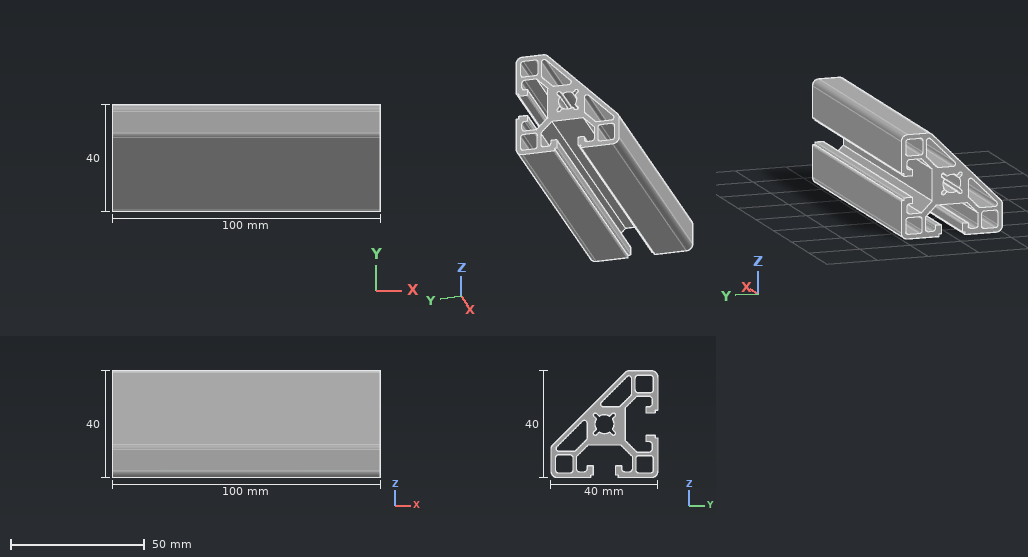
import cadquery as cq
import math

length = 100.0
half_size = 20.0
outer_radius = 2.5
bevel_start = 8.4

mouth_half_width = 4.1
notch_size = 1.0
notch_tip_radius = 0.3
lip_tip_radius = 0.3
lip_depth = 4.5
lip_half_width = 6.5
lip_wall = 2.2
cavity_half_width = 10.4
cavity_radius = 1.2
floor_depth = 12.2
floor_half_width = 6.1

cell_wall = 1.8
cell_size = 6.4
end_cell_size = 6.7
cell_radius = 1.0

pocket_outer = 10.1
pocket_inner = 6.5
pocket_slant_gap = 0.9
skin_offset = 2.3
pocket_radius = 1.0

bore_diameter = 7.0
groove_width = 1.4
groove_reach = 5.5


def swap(corners):
    """Mirror (y, z, radius) corners about z = -y, keeping the running direction."""
    return [(-z, -y, radius) for y, z, radius in reversed(corners)]


def unit_vector(start, end):
    span = math.dist(start, end)
    return (end[0] - start[0]) / span, (end[1] - start[1]) / span


def prism(corners):
    """Extrude a closed polygon of (y, z, radius) corners, rounding those with a radius."""
    sketch = cq.Workplane("YZ")
    for index, (y, z, radius) in enumerate(corners):
        to_previous = unit_vector((y, z), corners[index - 1][:2])
        to_next = unit_vector((y, z), corners[(index + 1) % len(corners)][:2])
        cosine = to_previous[0] * to_next[0] + to_previous[1] * to_next[1]
        half_angle = math.acos(cosine) / 2
        tangent = radius / math.tan(half_angle)
        first = (y + tangent * to_previous[0], z + tangent * to_previous[1])
        sketch = sketch.lineTo(*first) if index else sketch.moveTo(*first)
        if radius > 0:
            last = (y + tangent * to_next[0], z + tangent * to_next[1])
            inward = unit_vector((0, 0), (to_previous[0] + to_next[0], to_previous[1] + to_next[1]))
            sagitta = radius / math.sin(half_angle) - radius
            middle = (y + sagitta * inward[0], z + sagitta * inward[1])
            sketch = sketch.threePointArc(middle, last)
    return sketch.close().extrude(length / 2, both=True)


def slot_corners():
    """Corners of the T-slot in the +Y face, from bottom to top."""
    lip_back = half_size - lip_depth
    cavity_front = half_size - lip_wall
    floor = half_size - floor_depth
    shoulder = floor + cavity_half_width - floor_half_width
    upper = [
        (floor, floor_half_width, 0),
        (shoulder, cavity_half_width, 0),
        (cavity_front, cavity_half_width, cavity_radius),
        (cavity_front, lip_half_width, cavity_radius),
        (lip_back, lip_half_width, lip_tip_radius),
        (lip_back, mouth_half_width, lip_tip_radius),
        (half_size - notch_size, mouth_half_width, notch_tip_radius),
        (half_size - notch_size, mouth_half_width + notch_size, 0),
        (half_size, mouth_half_width + notch_size, notch_tip_radius),
    ]
    lower = [(y, -z, radius) for y, z, radius in reversed(upper)]
    return lower + upper


def body():
    upper_side = slot_corners() + [
        (half_size, half_size, outer_radius),
        (bevel_start, half_size, outer_radius),
    ]
    corner = (half_size, -half_size, outer_radius)
    return prism([corner] + upper_side + swap(upper_side))


def cell(width, height, side):
    """Cell against the +Y wall; side is +1 for the top corner, -1 for the bottom one."""
    outer = half_size - cell_wall
    corners = [
        (outer, side * outer),
        (outer - width, side * outer),
        (outer - width, side * (outer - height)),
        (outer, side * (outer - height)),
    ]
    return [(y, z, cell_radius) for y, z in corners]


def pocket():
    """Corners of the upper pocket."""
    skin_rise = half_size - bevel_start - skin_offset
    return [
        (pocket_outer, pocket_outer + skin_rise, pocket_radius),
        (pocket_outer, pocket_outer + pocket_slant_gap, pocket_radius),
        (pocket_inner - pocket_slant_gap, pocket_inner, pocket_radius),
        (pocket_inner - skin_rise, pocket_inner, pocket_radius),
    ]


def bore():
    cutter = cq.Workplane("YZ").circle(bore_diameter / 2).extrude(length / 2, both=True)
    for angle in (45, 135):
        groove = (
            cq.Workplane("YZ")
            .slot2D(2 * groove_reach, groove_width, angle)
            .extrude(length / 2, both=True)
        )
        cutter = cutter.union(groove)
    return cutter


end_cell = cell(end_cell_size, cell_size, 1)
result = body().cut(prism(cell(cell_size, cell_size, -1)))
for opening in (end_cell, pocket()):
    result = result.cut(prism(opening)).cut(prism(swap(opening)))
result = result.cut(bore())